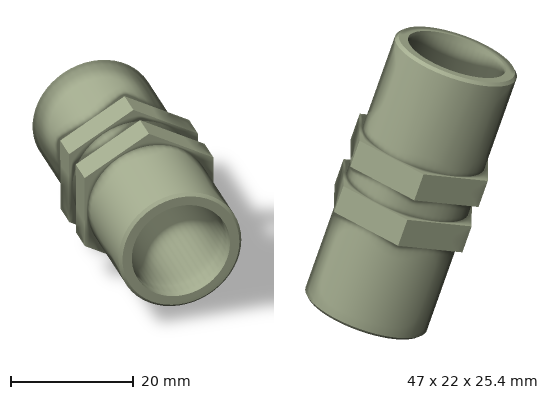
import cadquery as cq

tube_length = 47.0
tube_diameter = 20.95
bore_diameter = 16.76
end_chamfer = 0.5

hex_across_corners = 25.4
hex_width = 4.75
hex_gap = 3.55
hex_twist = 0.19

collar_offset = (hex_gap + hex_width) / 2


def make_tube():
    tube = cq.Workplane("YZ").circle(tube_diameter / 2).extrude(tube_length / 2, both=True)
    return tube.faces("<X or >X").chamfer(end_chamfer)


def make_hex_collar(center_x):
    collar = cq.Workplane("YZ").polygon(6, hex_across_corners).extrude(hex_width / 2, both=True)
    collar = collar.rotate((0, 0, 0), (1, 0, 0), 90 + hex_twist)
    return collar.translate((center_x, 0, 0))


def make_bore():
    return cq.Workplane("YZ").circle(bore_diameter / 2).extrude(tube_length / 2, both=True)


body = make_tube()
for side in (-1, 1):
    body = body.union(make_hex_collar(side * collar_offset))

result = body.cut(make_bore())